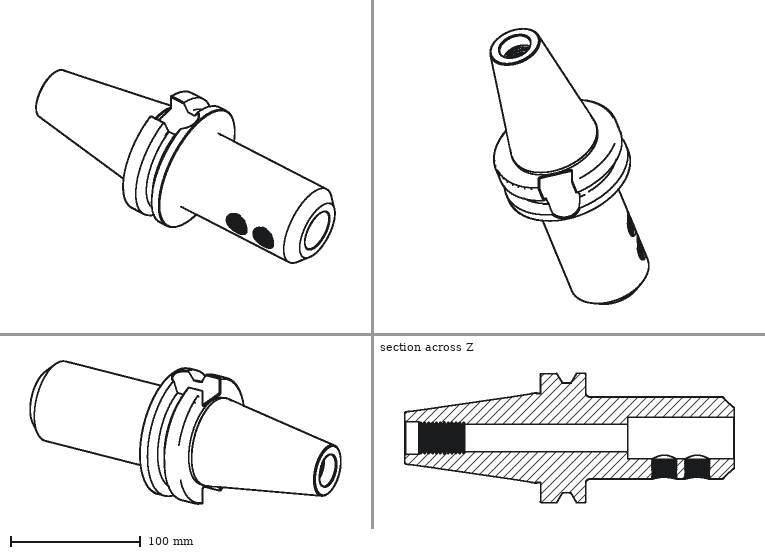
import cadquery as cq
import math


total_length = 254.05
nose_x = 152.4
tail_x = nose_x - total_length

gauge_diameter = 69.85
taper_ratio = 7 / 24
tail_chamfer = 0.8
neck_diameter = 68.85

flange_diameter = 100.0
flange_start_x = 3.0
flange_end_x = 38.0
flange_rear_fillet = 1.0
flange_front_chamfer = 0.6

groove_x = 23.2
groove_diameter = 85.0
groove_floor_width = 6.4
groove_floor_fillet = 0.6
groove_side_angle = 30.0

slot_width = 25.7
slot_round_x = groove_x
slot_floor_height = 35.4
slot_floor_fillet = 1.0
slot_edge_chamfer = 0.8
slot_rim_depth = 3.0

shank_diameter = 63.5
shank_fillet = 3.0
nose_diameter = 46.5
nose_chamfer_length = 9.0

tool_bore_diameter = 31.75
tool_bore_mouth_diameter = 32.75
tool_bore_depth = 82.0

through_diameter = 21.0
pilot_diameter = 25.0
pilot_mouth_diameter = 26.0
pilot_mouth_length = 1.0
pilot_depth = 11.0
drawbar_thread_diameter = 24.35
drawbar_thread_pitch = 3.0
drawbar_thread_turns = 12

screw_diameter = 19.05
screw_core_diameter = 17.5
screw_pitch = 25.4 / 16
screw_mouth_depth = 1.6
screw_setbacks = (28.6, 54.0)

thread_flank_angle = 30.0


def revolve_about_x(points):
    return cq.Workplane("XY").polyline(points).close().revolve(360, (0, 0, 0), (1, 0, 0))


def make_body():
    """Revolve the outside of the holder: taper, flange and shank."""
    gauge_radius = gauge_diameter / 2
    neck_radius = neck_diameter / 2
    neck_x = gauge_radius - neck_radius
    tail_radius = (gauge_diameter + taper_ratio * tail_x) / 2
    chamfer_end_radius = tail_radius + tail_chamfer * taper_ratio / 2
    flange_radius = flange_diameter / 2
    shank_radius = shank_diameter / 2
    arc_offset = 1 - math.sqrt(0.5)

    profile = (
        cq.Workplane("XZ")
        .moveTo(tail_x, 0)
        .lineTo(tail_x, tail_radius - tail_chamfer)
        .lineTo(tail_x + tail_chamfer, chamfer_end_radius)
        .lineTo(0, gauge_radius)
        .lineTo(neck_x, neck_radius)
        .lineTo(flange_start_x, neck_radius)
        .lineTo(flange_start_x, flange_radius - flange_rear_fillet)
        .threePointArc(
            (
                flange_start_x + flange_rear_fillet * arc_offset,
                flange_radius - flange_rear_fillet * arc_offset,
            ),
            (flange_start_x + flange_rear_fillet, flange_radius),
        )
        .lineTo(flange_end_x - flange_front_chamfer, flange_radius)
        .lineTo(flange_end_x, flange_radius - flange_front_chamfer)
        .lineTo(flange_end_x, shank_radius + shank_fillet)
        .threePointArc(
            (
                flange_end_x + shank_fillet * arc_offset,
                shank_radius + shank_fillet * arc_offset,
            ),
            (flange_end_x + shank_fillet, shank_radius),
        )
        .lineTo(nose_x - nose_chamfer_length, shank_radius)
        .lineTo(nose_x, nose_diameter / 2)
        .lineTo(nose_x, 0)
        .close()
    )
    return profile.revolve(360, (0, 0, 0), (1, 0, 0))


def make_groove_cutter():
    """Trapezoidal ring that cuts the gripper groove, with filleted floor corners."""
    flange_radius = flange_diameter / 2
    groove_radius = groove_diameter / 2
    groove_side = (flange_radius - groove_radius) * math.tan(math.radians(groove_side_angle))
    floor_half = groove_floor_width / 2
    rim_half = floor_half + groove_side
    section = (
        cq.Workplane("XZ")
        .moveTo(groove_x - rim_half, flange_radius)
        .lineTo(groove_x - floor_half, groove_radius)
        .lineTo(groove_x + floor_half, groove_radius)
        .lineTo(groove_x + rim_half, flange_radius)
        .close()
    )
    ring = section.revolve(360, (0, 0, 0), (1, 0, 0))
    floor_corners = cq.selectors.RadiusNthSelector(0)
    return ring.edges("%CIRCLE").edges(floor_corners).fillet(groove_floor_fillet)


def make_slot_cutter():
    """Round-ended drive slot on the +Z side, with a filleted floor edge."""
    height = flange_diameter / 2 - slot_floor_height
    slot_length = slot_round_x - flange_start_x
    base = cq.Workplane("XY").workplane(offset=slot_floor_height)
    straight = base.center(slot_round_x - slot_length / 2, 0).rect(slot_length, slot_width).extrude(height)
    round_end = base.center(slot_round_x, 0).circle(slot_width / 2).extrude(height)
    cutter = straight.union(round_end)
    return cutter.edges("<Z").edges("not <X").fillet(slot_floor_fillet)


def thread_points(start, turns, pitch, core_radius, major_radius):
    """Points of evenly spaced V grooves that run along X from the given start."""
    half_width = (major_radius - core_radius) * math.tan(math.radians(thread_flank_angle))
    points = []
    for turn in range(turns):
        center = start + (turn + 0.5) * pitch
        points.append((center - half_width, core_radius))
        points.append((center, major_radius))
        points.append((center + half_width, core_radius))
    return points


def make_tool_bore():
    """Chamfered bore for the cutter shank, open at the nose."""
    radius = tool_bore_diameter / 2
    mouth_radius = tool_bore_mouth_diameter / 2
    floor_x = nose_x - tool_bore_depth
    mouth_chamfer = mouth_radius - radius
    return revolve_about_x(
        [
            (floor_x, 0),
            (floor_x, radius),
            (nose_x - mouth_chamfer, radius),
            (nose_x, mouth_radius),
            (nose_x, 0),
        ]
    )


def make_drawbar_bore():
    """Chamfered pilot and threaded bore from the tail through to the tool bore."""
    core_radius = through_diameter / 2
    pilot_radius = pilot_diameter / 2
    mouth_radius = pilot_mouth_diameter / 2
    pilot_end_x = tail_x + pilot_depth
    end_x = nose_x - tool_bore_depth
    points = [
        (tail_x, 0),
        (tail_x, mouth_radius),
        (tail_x + pilot_mouth_length, pilot_radius),
        (pilot_end_x, pilot_radius),
        (pilot_end_x, core_radius),
    ]
    points += thread_points(
        pilot_end_x, drawbar_thread_turns, drawbar_thread_pitch, core_radius, drawbar_thread_diameter / 2
    )
    points += [(end_x, core_radius), (end_x, 0)]
    return revolve_about_x(points)


def make_screw_hole(x):
    """Threaded set screw hole with a plain mouth, from the -Y side into the tool bore."""
    core_radius = screw_core_diameter / 2
    major_radius = screw_diameter / 2
    shank_radius = shank_diameter / 2
    mouth_start = shank_radius - screw_mouth_depth
    turns = math.ceil((mouth_start - tool_bore_diameter / 2) / screw_pitch)
    thread_start = mouth_start - turns * screw_pitch
    points = [(0, 0), (0, core_radius)]
    points += thread_points(thread_start, turns, screw_pitch, core_radius, major_radius)
    points += [
        (mouth_start, core_radius),
        (mouth_start, major_radius),
        (shank_radius, major_radius),
        (shank_radius, 0),
    ]
    hole = revolve_about_x(points)
    return hole.rotate((0, 0, 0), (0, 0, 1), -90).translate((x, 0, 0))


def chamfer_slot_edges(body):
    """Chamfer the rims of both drive slots on the rear face and on the outside of the flange."""
    margin = 0.1
    reach_y = slot_width / 2 + margin
    top = flange_diameter / 2 + margin
    rim_bottom = top - slot_rim_depth
    slot_end_x = slot_round_x + slot_width / 2 + margin
    floor = slot_floor_height - margin
    for side in (1, -1):
        rear = cq.selectors.BoxSelector(
            (flange_start_x - margin, -reach_y, side * floor),
            (flange_start_x + margin, reach_y, side * top),
            boundingbox=True,
        )
        outside = cq.selectors.BoxSelector(
            (flange_start_x - margin, -reach_y, side * rim_bottom),
            (slot_end_x, reach_y, side * top),
            boundingbox=True,
        )
        body = body.edges(rear + outside).chamfer(slot_edge_chamfer)
    return body


result = make_body()

slot = make_slot_cutter()
for angle in (0, 180):
    result = result.cut(slot.rotate((0, 0, 0), (1, 0, 0), angle))

result = chamfer_slot_edges(result)
result = result.cut(make_groove_cutter())
result = result.cut(make_tool_bore()).cut(make_drawbar_bore())

for setback in screw_setbacks:
    result = result.cut(make_screw_hole(nose_x - setback))